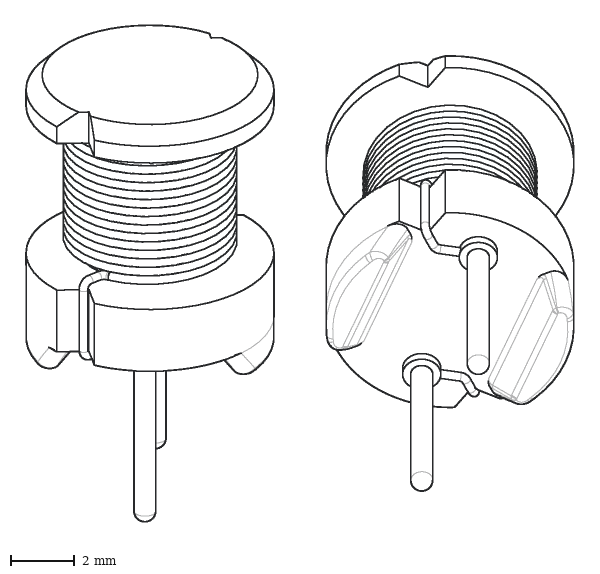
import cadquery as cq
import math

total_height = 14.5
flange_bottom = 13.4
base_top = 8.2
base_floor = 6.02
leg_bottom = 5.0

flange_radius = 3.9
flange_chamfer = 0.51
post_radius = 2.0
leg_wall_top = 2.22
leg_wall_foot = 2.81
leg_end_apex = 5.87
leg_end_inset = 0.67
leg_end_fillet = 0.38
leg_fillet = 0.2

lead_x = 0.64
notch_apex_y = -3.12
notch_left_x = 0.0
notch_right_x = 1.46

pin_offset = 1.77
pin_radius = 0.35
collar_radius = 1.2 / 2
collar_height = 0.29

wire_radius = 0.138
inner_turns = 16
outer_turns = 15
inner_layer_height = 4.8
wire_pitch = inner_layer_height / inner_turns
inner_layer_radius = 2.26
outer_layer_radius = 5.2 / 2
inner_start_height = 8.38
outer_start_height = 8.55
inner_lead_angle = -82.0
outer_lead_angle = -70.0
crossover_start_angle = 0.0
points_per_turn = 16

lead_spacing = 6.68
lead_y = -lead_spacing / 2
lead_bend = 0.26
lead_clearance = 0.007
lead_lower_height = base_floor - wire_radius - lead_clearance
lead_turn_y = -2.54


def half_turn(body):
    """The same body turned half a turn about Z."""
    return body.rotate((0, 0, 0), (0, 0, 1), 180)


def make_drum():
    """Winding post and chamfered upper flange, standing on the base."""
    return (
        cq.Workplane("XZ")
        .moveTo(0, base_top)
        .lineTo(-post_radius, base_top)
        .lineTo(-post_radius, flange_bottom)
        .lineTo(-flange_radius, flange_bottom)
        .lineTo(-flange_radius, total_height - flange_chamfer)
        .lineTo(-flange_radius + flange_chamfer, total_height)
        .lineTo(0, total_height)
        .close()
        .revolve(360, (0, 0, 0), (0, 1, 0))
    )


def make_leg():
    """Leg in the (-X, -Y) quadrant: round outside, leaning flat wall inside, sloped ends."""
    leg = (
        cq.Workplane("XY", origin=(0, 0, leg_bottom))
        .circle(flange_radius)
        .extrude(base_floor - leg_bottom)
    )
    end_slope = leg_end_inset / (leg_end_apex - leg_bottom)
    end_overhang = (base_floor - leg_end_apex) * end_slope
    end_profile = [
        (end_overhang, base_floor),
        (-leg_end_inset, leg_bottom),
        (-flange_radius, leg_bottom),
        (-flange_radius, base_floor),
    ]
    x_limit = cq.Workplane("XZ").polyline(end_profile).close().extrude(flange_radius, both=True)
    y_limit = cq.Workplane("YZ").polyline(end_profile).close().extrude(flange_radius, both=True)
    wall_profile = [
        (-leg_wall_top, base_floor),
        (-leg_wall_foot, leg_bottom),
        (-flange_radius, leg_bottom),
        (-flange_radius, base_floor),
    ]
    wall_limit = cq.Workplane("XZ").polyline(wall_profile).close().extrude(flange_radius, both=True)
    wall_limit = wall_limit.rotate((0, 0, 0), (0, 0, 1), 45)
    return leg.intersect(x_limit).intersect(y_limit).intersect(wall_limit)


def edges_between(body, low, high):
    """Edges of the body whose centres lie between two heights."""
    reach = 2 * flange_radius
    slab = cq.selectors.BoxSelector((-reach, -reach, low), (reach, reach, high))
    return body.edges(slab).vals()


def leg_end_edges(body, outside):
    """Long edges of the sloped leg ends, on the round outer or the flat inner side."""
    rim_width = 0.15
    rim = flange_radius - rim_width
    edges = edges_between(body, leg_bottom + leg_fillet, base_floor - leg_fillet)
    return [e for e in edges if (math.hypot(e.Center().x, e.Center().y) > rim) == outside]


def make_base():
    """Base disc with two rounded legs in opposite quadrants."""
    disc = (
        cq.Workplane("XY", origin=(0, 0, base_floor))
        .circle(flange_radius)
        .extrude(base_top - base_floor)
    )
    base = disc.union(make_leg())
    margin = 0.01
    floor_edges = edges_between(base, base_floor - margin, base_floor + margin)
    wall_root = [e for e in floor_edges if math.isclose(e.Center().x, e.Center().y)]
    base = base.newObject(wall_root).fillet(leg_fillet)
    base = base.newObject(leg_end_edges(base, True)).fillet(leg_end_fillet)
    base = base.newObject(leg_end_edges(base, False)).fillet(leg_fillet)
    base = base.faces("<Z").edges().fillet(leg_fillet)
    return base.union(half_turn(base))


def make_notch():
    """V-shaped channel for a lead, cut through both flanges."""
    slope = (notch_apex_y + flange_radius) / (lead_x - notch_left_x)
    right_y = -math.sqrt(flange_radius**2 - notch_right_x**2)
    right_slope = (notch_apex_y - right_y) / (notch_right_x - lead_x)
    overrun = 0.44
    return (
        cq.Workplane("XY", origin=(0, 0, base_floor))
        .moveTo(lead_x, notch_apex_y)
        .lineTo(notch_left_x - overrun, -flange_radius - overrun * slope)
        .lineTo(notch_right_x + overrun, right_y - overrun * right_slope)
        .close()
        .extrude(total_height - base_floor)
    )


def make_core():
    """Base, post and upper flange in one piece, with both lead notches."""
    notch = make_notch()
    core = make_base().union(make_drum())
    return core.cut(notch).cut(half_turn(notch))


def make_pin():
    """Round-tipped pin with the collar that sits against the base."""
    collar_bottom = base_floor - collar_height
    profile = (
        cq.Workplane("XZ")
        .moveTo(0, 0)
        .radiusArc((-pin_radius, pin_radius), pin_radius)
        .lineTo(-pin_radius, collar_bottom)
        .lineTo(-collar_radius, collar_bottom)
        .lineTo(-collar_radius, base_floor)
        .lineTo(0, base_floor)
        .close()
    )
    return profile.revolve(360, (0, 0, 0), (0, 1, 0)).translate((pin_offset, -pin_offset, 0))


def cylinder_point(radius, angle, height):
    """Point at a radius and angle about Z."""
    turn = math.radians(angle)
    return cq.Vector(radius * math.cos(turn), radius * math.sin(turn), height)


def layer_direction(radius, angle, rise_per_turn):
    """Counter-clockwise direction of the wire in a layer that climbs by the given pitch."""
    turn = math.radians(angle)
    slope = rise_per_turn / (2 * math.pi * radius)
    return cq.Vector(-math.sin(turn), math.cos(turn), slope).normalized()


def sweep_wire(path, start, direction):
    """Round wire along a path."""
    plane = cq.Plane(origin=start.toTuple(), normal=direction.toTuple())
    return cq.Workplane(plane).circle(wire_radius).sweep(cq.Workplane(obj=path), isFrenet=True)


def helix_points(radius, start_angle, end_angle, start_height, end_height):
    """Evenly spaced points along one layer, without its last point."""
    count = round(abs(end_angle - start_angle) / 360 * points_per_turn)
    points = []
    for step in range(count):
        part = step / count
        angle = start_angle + part * (end_angle - start_angle)
        height = start_height + part * (end_height - start_height)
        points.append(cylinder_point(radius, angle, height))
    return points


def make_coil():
    """Two-layer winding: up the outer layer, over at the top and down the inner one."""
    outer_end_angle = crossover_start_angle + 360 * outer_turns
    outer_rise = wire_pitch * (outer_end_angle - outer_lead_angle) / 360
    outer_end_height = outer_start_height + outer_rise
    inner_top_height = inner_start_height + inner_layer_height
    inner_top_angle = outer_end_angle + inner_lead_angle + 180
    inner_end_angle = inner_top_angle + 360 * inner_turns
    points = helix_points(
        outer_layer_radius, outer_lead_angle, outer_end_angle, outer_start_height, outer_end_height
    )
    points.append(cylinder_point(outer_layer_radius, outer_end_angle, outer_end_height))
    points.append(
        cylinder_point(
            (outer_layer_radius + inner_layer_radius) / 2,
            (outer_end_angle + inner_top_angle) / 2,
            (outer_end_height + inner_top_height) / 2,
        )
    )
    points += helix_points(
        inner_layer_radius, inner_top_angle, inner_end_angle, inner_top_height, inner_start_height
    )
    points.append(cylinder_point(inner_layer_radius, inner_end_angle, inner_start_height))
    path = cq.Wire.assembleEdges([cq.Edge.makeSpline(points)])
    start_direction = layer_direction(outer_layer_radius, outer_lead_angle, wire_pitch)
    return sweep_wire(path, points[0], start_direction)


def rounded_path(points):
    """Wire through the points, with each corner rounded to the lead's bend radius."""
    edges = []
    start = points[0]
    for before, corner, after in zip(points, points[1:], points[2:]):
        into = (corner - before).normalized()
        out = (after - corner).normalized()
        setback = lead_bend * math.tan(into.getAngle(out) / 2)
        bend_start = corner - into * setback
        bend_end = corner + out * setback
        edges.append(cq.Edge.makeLine(start, bend_start))
        edges.append(cq.Edge.makeTangentArc(bend_start, into, bend_end))
        start = bend_end
    edges.append(cq.Edge.makeLine(start, points[-1]))
    return cq.Wire.assembleEdges(edges)


def make_lead(layer_radius, layer_angle, height, rise_per_turn, pin):
    """Lead from the end of one layer, down the notch and to the collar of the pin."""
    coil_end = cylinder_point(layer_radius, layer_angle, height)
    direction = layer_direction(layer_radius, layer_angle, rise_per_turn)
    first_corner = coil_end + direction * ((lead_x - coil_end.x) / direction.x)
    points = [
        coil_end,
        first_corner,
        cq.Vector(lead_x, lead_y, first_corner.z),
        cq.Vector(lead_x, lead_y, lead_lower_height),
        cq.Vector(lead_x, lead_turn_y, lead_lower_height),
        cq.Vector(pin_offset, -pin_offset, lead_lower_height),
    ]
    path = rounded_path(points)
    return sweep_wire(path, coil_end, first_corner - coil_end).cut(pin)


coil = make_coil()
pin = make_pin()
pins = [pin, half_turn(pin)]

outer_lead = make_lead(outer_layer_radius, outer_lead_angle, outer_start_height, wire_pitch, pin)
inner_lead = make_lead(inner_layer_radius, inner_lead_angle, inner_start_height, -wire_pitch, pin)
leads = [lead.cut(coil) for lead in (outer_lead, half_turn(inner_lead))]

core = make_core()
for lead in leads:
    core = core.cut(lead)

solids = [core.val(), coil.val()]
for body in pins + leads:
    solids += body.solids().vals()
result = cq.Compound.makeCompound(solids)